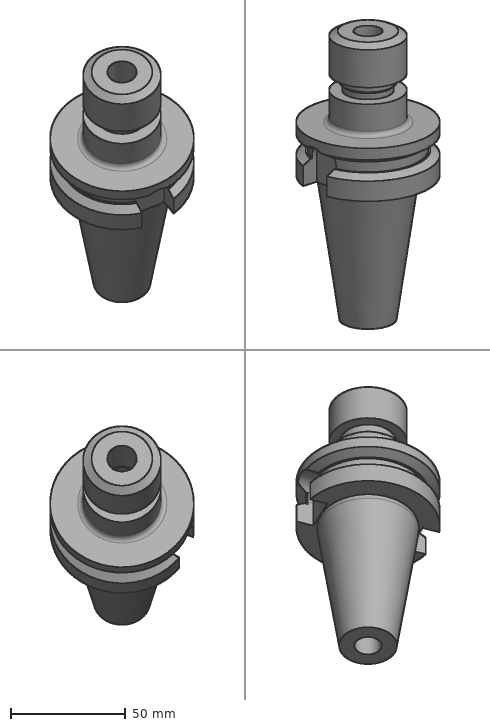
import cadquery as cq

total_height = 135.4
gauge_z = 67.7
taper_top_z = 65.7
lower_rim_top_z = 77.2
groove_bottom_z = 79.5
groove_top_z = 84.6
upper_rim_bottom_z = 87.2
flange_top_z = 92.6
body_top_z = 107.6
neck_top_z = 110.5
collar_bottom_z = 111.6
nut_bottom_z = 115.5
nut_chamfer_height = 2.2

flange_radius = 31.48
groove_radius = 26.4
groove_mouth_radius = 27.4
taper_large_radius = 22.2
taper_ratio = 7 / 24
taper_small_radius = taper_large_radius - taper_top_z * taper_ratio / 2
body_radius = 17.0
nut_radius = body_radius
nut_top_radius = 13.3
collar_radius = 12.6
neck_radius = 11.4
base_fillet = 2.5

bore_radius = 6.0
nut_bore_radius = 6.4

slot_width = 16.1
slot_floor_x = 22.5
slot_top_z = 88.7


def revolved_body():
    fillet_start = (body_radius + base_fillet, flange_top_z)
    fillet_end = (body_radius, flange_top_z + base_fillet)
    profile = (
        cq.Workplane("XZ")
        .moveTo(0, 0)
        .lineTo(taper_small_radius, 0)
        .lineTo(taper_large_radius, taper_top_z)
        .lineTo(taper_large_radius, gauge_z)
        .lineTo(flange_radius, gauge_z)
        .lineTo(flange_radius, lower_rim_top_z)
        .lineTo(groove_mouth_radius, groove_bottom_z)
        .lineTo(groove_radius, groove_bottom_z)
        .lineTo(groove_radius, groove_top_z)
        .lineTo(groove_mouth_radius, groove_top_z)
        .lineTo(flange_radius, upper_rim_bottom_z)
        .lineTo(flange_radius, flange_top_z)
        .lineTo(*fillet_start)
        .radiusArc(fillet_end, base_fillet)
        .lineTo(body_radius, body_top_z)
        .lineTo(neck_radius, body_top_z)
        .lineTo(neck_radius, neck_top_z)
        .lineTo(collar_radius, collar_bottom_z)
        .lineTo(collar_radius, nut_bottom_z)
        .lineTo(nut_radius, nut_bottom_z)
        .lineTo(nut_radius, total_height - nut_chamfer_height)
        .lineTo(nut_top_radius, total_height)
        .lineTo(0, total_height)
        .close()
    )
    return profile.revolve(360, (0, 0, 0), (0, 1, 0))


def bore():
    through_hole = cq.Workplane("XY").circle(bore_radius).extrude(total_height)
    nut_hole = (
        cq.Workplane("XY")
        .workplane(offset=nut_bottom_z)
        .circle(nut_bore_radius)
        .extrude(total_height - nut_bottom_z)
    )
    return through_hole.union(nut_hole)


def drive_slot():
    """Round-topped slot on the +X side, open at the underside of the flange."""
    half_width = slot_width / 2
    arc_center_z = slot_top_z - half_width
    return (
        cq.Workplane("YZ")
        .workplane(offset=slot_floor_x)
        .moveTo(-half_width, gauge_z)
        .lineTo(half_width, gauge_z)
        .lineTo(half_width, arc_center_z)
        .threePointArc((0, slot_top_z), (-half_width, arc_center_z))
        .close()
        .extrude(flange_radius)
    )


result = revolved_body().cut(bore())
for angle in (0, 180):
    result = result.cut(drive_slot().rotate((0, 0, 0), (0, 0, 1), angle))